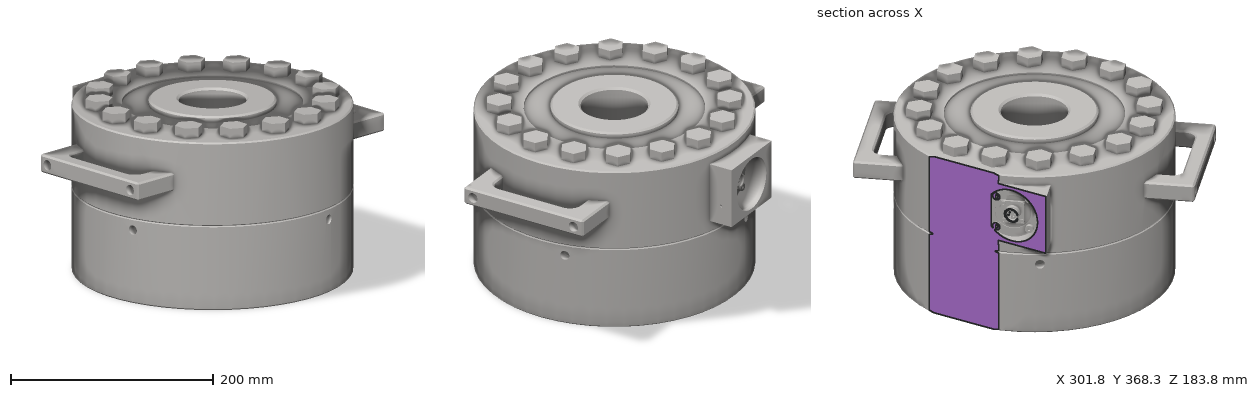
import cadquery as cq
import math

body_diameter = 279.2
body_radius = body_diameter / 2
body_height = 173.5
seam_height = 87.3
edge_chamfer = 1.5
seam_chamfer = 1.0

side_tilt = 22.5
side_z = 131.5
root_distance = 110.5

ring_diameter = 179.8
ring_depth = 2.2
hub_diameter = 126.7
hub_height = 177.5
hub_chamfer = 2.0
bore_diameter = 67.0
bore_chamfer = 2.2

bolt_count = 16
bolt_circle_radius = 114.2
bolt_across_flats = 24.0
bolt_top = 183.8

radial_hole_count = 4
radial_hole_diameter = 9.5
radial_hole_depth = 10.0
radial_hole_z = 76.0
radial_hole_angle = 33.75

handle_reach = 171.3
handle_width = 139.2
handle_height = 18.8
grip_thickness = 16.2
arm_width = 21.0
window_radius = 11.0
handle_chamfer = 2.0
handle_angles = (side_tilt + 90, side_tilt - 90)

handle_screw_offset = 58.5
handle_screw_bore = 10.5
handle_screw_bore_depth = 15.5
handle_screw_head = 8.5
handle_screw_head_height = 5.0
handle_screw_socket = 4.0

block_angle = side_tilt + 180
block_reach = 160.0
block_width = 75.0
block_height = 63.5
pocket_diameter = 55.3
pocket_depth = 24.3
vent_diameter = 2.85
vent_face_distance = 12.0
vent_drop = 11.5

pocket_screw_offset = 16.5
pocket_screw_head = 8.0
pocket_screw_head_height = 4.0
pocket_screw_socket = 3.3

recess_diameter = 36.5
recess_depth = 1.0
flange_width = 24.0
flange_thickness = 2.5
flange_screw_offset = 9.2
flange_screw_head = 4.8
flange_screw_head_height = 1.0
flange_screw_socket = 2.4
barrel_base_diameter = 16.0
barrel_base_height = 4.8
barrel_tip_diameter = 14.7
barrel_height = 10.3
barrel_bore = 11.8
barrel_bore_depth = 7.0
contact_count = 6
contact_diameter = 1.75
contact_circle_radius = 3.3
contact_height = 3.5

overlap = 0.7


def radial_plane(angle, distance, z):
    """Plane facing outward at an angle; local x runs sideways, local y runs up."""
    turn = math.radians(angle)
    outward = (math.cos(turn), math.sin(turn), 0)
    sideways = (-math.sin(turn), math.cos(turn), 0)
    origin = (distance * outward[0], distance * outward[1], z)
    return cq.Plane(origin=origin, xDir=sideways, normal=outward)


def square_points(offset):
    """Four points at the corners of a square centred on the origin."""
    return [(x, y) for x in (-offset, offset) for y in (-offset, offset)]


def cap_screws(plane, points, head_diameter, head_height, socket_size):
    """Round heads standing on a plane, each with a hexagon socket half its height deep."""
    socket_corners = socket_size / math.cos(math.pi / 6)
    seat = cq.Workplane(plane).workplane(offset=-overlap)
    heads = seat.pushPoints(points).circle(head_diameter / 2).extrude(head_height + overlap)
    sockets = (
        cq.Workplane(plane)
        .workplane(offset=head_height / 2)
        .pushPoints(points)
        .polygon(6, socket_corners)
        .extrude(head_height)
    )
    return heads.cut(sockets)


def make_body():
    lower = (
        cq.Workplane("XY")
        .circle(body_radius)
        .extrude(seam_height)
        .faces("<Z").edges().chamfer(edge_chamfer)
        .faces(">Z").edges().chamfer(seam_chamfer)
    )
    upper = (
        cq.Workplane("XY", origin=(0, 0, seam_height))
        .circle(body_radius)
        .extrude(body_height - seam_height)
        .faces(">Z").edges().chamfer(edge_chamfer)
        .faces("<Z").edges().chamfer(seam_chamfer)
    )
    ring_floor = body_height - ring_depth
    ring = cq.Workplane("XY", origin=(0, 0, ring_floor)).circle(ring_diameter / 2).extrude(ring_depth)
    hub = (
        cq.Workplane("XY", origin=(0, 0, seam_height))
        .circle(hub_diameter / 2)
        .extrude(hub_height - seam_height)
        .faces(">Z").edges().chamfer(hub_chamfer)
    )
    bore = (
        cq.Workplane("XY", origin=(0, 0, seam_height))
        .circle(bore_diameter / 2)
        .extrude(hub_height - seam_height)
    )
    countersink = (
        cq.Workplane("XY", origin=(0, 0, hub_height - bore_chamfer))
        .circle(bore_diameter / 2)
        .workplane(offset=bore_chamfer)
        .circle(bore_diameter / 2 + bore_chamfer)
        .loft()
    )
    return lower.union(upper).cut(ring).union(hub).cut(bore).cut(countersink)


def make_bolt_heads():
    across_corners = bolt_across_flats / math.cos(math.pi / 6)
    first_angle = 180 / bolt_count
    return (
        cq.Workplane("XY", origin=(0, 0, body_height - overlap))
        .transformed(rotate=(0, 0, side_tilt))
        .polarArray(bolt_circle_radius, first_angle, 360, bolt_count, rotate=False)
        .polygon(6, across_corners)
        .extrude(bolt_top - body_height + overlap)
    )


def make_radial_holes():
    holes = cq.Workplane("XY")
    for index in range(radial_hole_count):
        angle = radial_hole_angle + index * 360 / radial_hole_count
        plane = radial_plane(angle, body_radius - radial_hole_depth, radial_hole_z)
        holes = holes.union(
            cq.Workplane(plane).circle(radial_hole_diameter / 2).extrude(2 * radial_hole_depth)
        )
    return holes


def make_handle(angle):
    """U-shaped handle rooted in the body, with two sunken cap screws."""
    depth = handle_reach - root_distance
    frame = (
        cq.Workplane("XY")
        .box(depth, handle_width, handle_height, centered=(False, True, True))
        .translate((root_distance, 0, 0))
    )
    window = (
        cq.Workplane("XY")
        .box(depth, handle_width - 2 * arm_width, 2 * handle_height, centered=(False, True, True))
        .edges("|Z and >X").fillet(window_radius)
        .translate((root_distance - grip_thickness, 0, 0))
    )
    frame = frame.cut(window).faces(">Z or <Z or >X").edges("not <X").chamfer(handle_chamfer)
    handle = frame.translate((0, 0, side_z)).rotate((0, 0, 0), (0, 0, 1), angle)

    screw_points = [(-handle_screw_offset, 0), (handle_screw_offset, 0)]
    floor = radial_plane(angle, handle_reach - handle_screw_bore_depth, side_z)
    bores = (
        cq.Workplane(floor)
        .pushPoints(screw_points)
        .circle(handle_screw_bore / 2)
        .extrude(handle_screw_bore_depth)
    )
    screws = cap_screws(
        floor, screw_points, handle_screw_head, handle_screw_head_height, handle_screw_socket
    )
    return handle.cut(bores).union(screws)


def make_block():
    root = radial_plane(block_angle, root_distance, side_z)
    return cq.Workplane(root).rect(block_width, block_height).extrude(block_reach - root_distance)


def make_block_cavities():
    """Round pocket with a shallow recess in its floor, and a vent from the block's side."""
    recess_floor = radial_plane(block_angle, block_reach - pocket_depth - recess_depth, side_z)
    recess = cq.Workplane(recess_floor).circle(recess_diameter / 2).extrude(pocket_depth)
    pocket = (
        cq.Workplane(recess_floor)
        .workplane(offset=recess_depth)
        .circle(pocket_diameter / 2)
        .extrude(pocket_depth)
    )
    vent = (
        cq.Workplane("XZ")
        .center(block_reach - vent_face_distance, side_z - vent_drop)
        .circle(vent_diameter / 2)
        .extrude(block_width)
        .rotate((0, 0, 0), (0, 0, 1), block_angle)
    )
    return pocket.union(recess).union(vent)


def make_connector():
    pocket_floor = radial_plane(block_angle, block_reach - pocket_depth, side_z)
    recess_floor = radial_plane(block_angle, block_reach - pocket_depth - recess_depth, side_z)
    flange_face = radial_plane(
        block_angle, block_reach - pocket_depth - recess_depth + flange_thickness, side_z
    )
    pocket_screws = cap_screws(
        pocket_floor,
        square_points(pocket_screw_offset),
        pocket_screw_head,
        pocket_screw_head_height,
        pocket_screw_socket,
    )
    flange = (
        cq.Workplane(recess_floor)
        .workplane(offset=-overlap)
        .rect(flange_width, flange_width)
        .extrude(flange_thickness + overlap)
    )
    flange_screws = cap_screws(
        flange_face,
        square_points(flange_screw_offset),
        flange_screw_head,
        flange_screw_head_height,
        flange_screw_socket,
    )
    barrel_base = cq.Workplane(flange_face).circle(barrel_base_diameter / 2).extrude(barrel_base_height)
    barrel_tip = cq.Workplane(flange_face).circle(barrel_tip_diameter / 2).extrude(barrel_height)
    bore_floor = cq.Workplane(flange_face).workplane(offset=barrel_height - barrel_bore_depth)
    barrel_hollow = bore_floor.circle(barrel_bore / 2).extrude(barrel_bore_depth)
    contacts = (
        bore_floor.workplane(offset=-overlap)
        .polarArray(contact_circle_radius, 0, 360, contact_count)
        .circle(contact_diameter / 2)
        .extrude(contact_height + overlap)
    )
    barrel = barrel_base.union(barrel_tip).cut(barrel_hollow).union(contacts)
    return pocket_screws.union(flange).union(flange_screws).union(barrel)


result = make_body().cut(make_radial_holes()).union(make_bolt_heads())
for handle_angle in handle_angles:
    result = result.union(make_handle(handle_angle))
result = result.union(make_block()).cut(make_block_cavities()).union(make_connector())